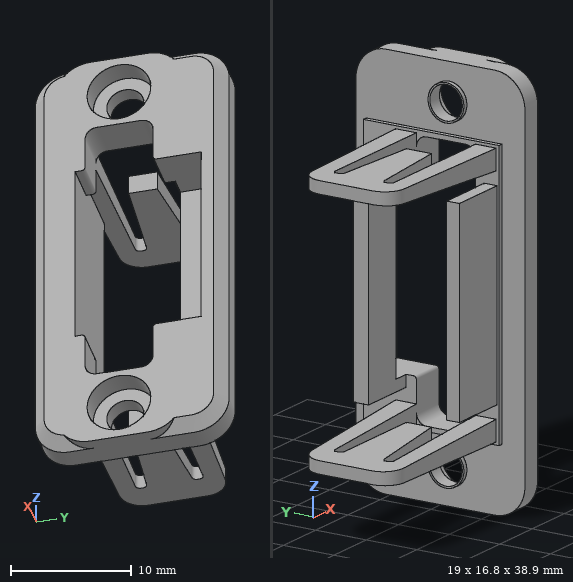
import cadquery as cq

plate_width = 16.75
plate_height = 38.9
plate_thickness = 3.05
overall_depth = 19.0
corner_radius = 3.0
edge_chamfer = 1.05
core_width = 10.97

pad_rise = 0.45
pad_y_min = -6.1
pad_y_max = 7.3
pad_height = 26.23
collar_diameter = 3.55
hole_diameter = 3.2
hole_height = 15.95
counterbore_diameter = 5.5
counterbore_depth = 2.02

axis_y = -0.85

arm_tip_x = plate_thickness - overall_depth
arm_outer_z = 12.85
arm_tip_thickness = 1.2
arm_root_thickness = 2.0
arm_root_half_width = 4.98
arm_tip_half_width = 4.5
arm_tip_radius = 2.0
slot_end_x = -13.42
slot_end_radius = 0.4
tongue_end_x = -4.63
tongue_root_half_width = 2.0
tongue_end_half_width = 1.25

window_half_width = 2.9
window_half_height = 12.65
window_corner_radius = 1.0
cavity_height = 16.9
ledge_radius = 0.3
selection_margin = 0.05

wall_height = 19.15
wall_tip_x = -6.3
wall_y_min = -5.9
wall_y_inner = -4.63
hood_y_inner = 3.07
hood_y_step = 4.6
hood_shoulder_y = 5.75
hood_root_y = 6.35
hood_shoulder_x = -3.05
hood_wall = 0.9
hood_roof = 0.97


def box(x_range, y_range, z_range):
    """Box spanning the given (min, max) ranges."""
    size = [high - low for low, high in (x_range, y_range, z_range)]
    corner = (x_range[0], y_range[0], z_range[0])
    return cq.Workplane("XY").box(*size, centered=False).translate(corner)


def rounded_block(width, height, radius, x_start, x_end):
    """Block along X with rounded edges, centred on Y and Z."""
    block = cq.Workplane("YZ").workplane(offset=x_start).rect(width, height).extrude(x_end - x_start)
    return block.edges("|X").fillet(radius)


def prism(points, height):
    """XY outline extruded evenly about z = 0."""
    return cq.Workplane("XY").polyline(points).close().extrude(height / 2, both=True)


def upper_and_lower(upper):
    """A solid together with its mirror image below z = 0."""
    return upper.union(upper.mirror("XY"))


def make_plate():
    """Plate with a chamfered back edge, filled out flush along the core."""
    plate = rounded_block(plate_width, plate_height, corner_radius, 0, plate_thickness)
    plate = plate.faces(">X").chamfer(edge_chamfer)
    core = rounded_block(core_width, plate_height, corner_radius, 0, plate_thickness)
    pad = box((-pad_rise, 0), (pad_y_min, pad_y_max), (-pad_height / 2, pad_height / 2))
    return plate.union(core.translate((0, axis_y, 0))).union(pad)


def make_cylinder(diameter, x_start, x_end):
    """Cylinder along X on the upper screw axis."""
    start = cq.Workplane("YZ", origin=(x_start, axis_y, hole_height))
    return start.circle(diameter / 2).extrude(x_end - x_start)


def make_screw_hole():
    """Through hole with a counterbore from the +X face."""
    hole = make_cylinder(hole_diameter, -pad_rise, plate_thickness)
    counterbore_x = plate_thickness - counterbore_depth
    return hole.union(make_cylinder(counterbore_diameter, counterbore_x, plate_thickness))


def make_arm():
    """Upper latch arm: a tapered loop with a tongue inside it."""
    inner_tip_z = arm_outer_z - arm_tip_thickness
    inner_root_z = arm_outer_z - arm_root_thickness
    side = [
        (arm_tip_x, arm_outer_z),
        (0, arm_outer_z),
        (0, inner_root_z),
        (-pad_rise, inner_root_z),
        (arm_tip_x, inner_tip_z),
    ]
    side_prism = cq.Workplane("XZ").polyline(side).close().extrude(plate_width, both=True)

    outline = [
        (arm_tip_x, -arm_tip_half_width),
        (0, -arm_root_half_width),
        (0, arm_root_half_width),
        (arm_tip_x, arm_tip_half_width),
    ]
    arm = prism(outline, plate_height).edges("|Z and <X").fillet(arm_tip_radius)

    opening = [
        (slot_end_x, -window_half_width),
        (0, -window_half_width),
        (0, window_half_width),
        (slot_end_x, window_half_width),
    ]
    tongue = [
        (slot_end_x, -tongue_root_half_width),
        (tongue_end_x, -tongue_end_half_width),
        (tongue_end_x, tongue_end_half_width),
        (slot_end_x, tongue_root_half_width),
    ]
    slots = prism(opening, plate_height).cut(prism(tongue, plate_height))
    slots = slots.edges("|Z and <X").fillet(slot_end_radius)
    return arm.cut(slots).translate((0, axis_y, 0)).intersect(side_prism)


def make_walls():
    """Plain wall on the -Y side and stepped hood on the +Y side."""
    half_height = wall_height / 2
    plain_wall = box((wall_tip_x, 0), (wall_y_min, wall_y_inner), (-half_height, half_height))
    hood = [
        (0, hood_y_inner),
        (wall_tip_x, hood_y_inner),
        (wall_tip_x, hood_y_step),
        (hood_shoulder_x, hood_y_step),
        (hood_shoulder_x, hood_shoulder_y),
        (-pad_rise, hood_root_y),
        (0, hood_root_y),
    ]
    return plain_wall.union(prism(hood, wall_height))


def make_window():
    """Narrow upright window through the plate."""
    width = 2 * window_half_width
    height = 2 * window_half_height
    window = rounded_block(width, height, window_corner_radius, -pad_rise, plate_thickness)
    return window.translate((0, axis_y, 0))


def make_cavity():
    """Wide middle opening that reaches into the hood, parallel to its sloping side."""
    slope = (hood_root_y - hood_shoulder_y) / (-pad_rise - hood_shoulder_x)
    roof_x = hood_shoulder_x + hood_roof
    roof_y = hood_shoulder_y + slope * hood_roof - hood_wall
    back_y = roof_y + slope * (plate_thickness - roof_x)
    outline = [
        (plate_thickness, wall_y_inner),
        (roof_x, wall_y_inner),
        (roof_x, roof_y),
        (plate_thickness, back_y),
    ]
    return prism(outline, cavity_height)


def ledge_corners():
    """Selector for the four X edges where the narrow window steps out into the cavity."""
    half_width = window_half_width + selection_margin
    half_height = cavity_height / 2 + selection_margin
    return cq.selectors.BoxSelector(
        (-pad_rise, axis_y - half_width, -half_height),
        (plate_thickness, axis_y + half_width, half_height),
    )


result = make_plate().union(upper_and_lower(make_cylinder(collar_diameter, -pad_rise, 0)))
result = result.union(upper_and_lower(make_arm())).union(make_walls())
result = result.cut(make_window()).cut(make_cavity())
result = result.edges("|X").edges(ledge_corners()).fillet(ledge_radius)
result = result.cut(upper_and_lower(make_screw_hole()))